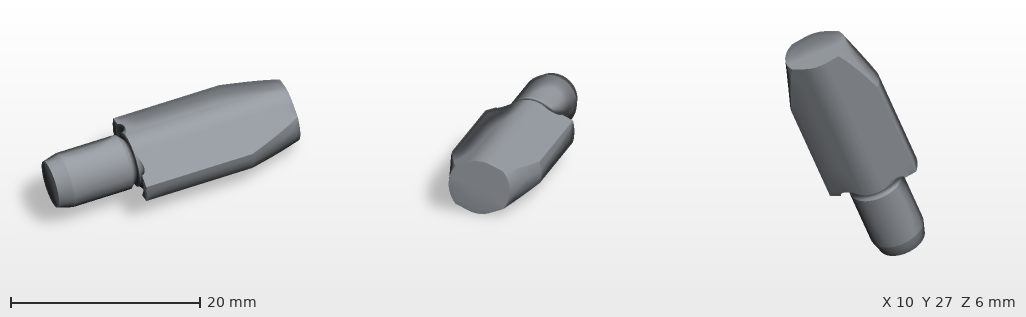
import cadquery as cq
import math

total_length = 27.0
body_length = 18.0
body_radius = 5.0
shank_radius = 3.0
flat_angle = math.radians(22.5)
taper_angle = math.radians(15)
body_taper_length = 6.0
tip_taper_length = 1.6
neck_length = 0.8
groove_outer_radius = 4.0

shank_length = total_length - body_length
neck_radius = shank_radius - neck_length


def revolve_about_y(profile):
    """Turn a closed XY profile around the Y axis."""
    return profile.revolve(360, (0, 0, 0), (0, 1, 0))


def make_section():
    """Extrude the crowned body section with flats tangent to the crowns."""
    crown_x = shank_radius * math.sin(flat_angle)
    crown_z = shank_radius * math.cos(flat_angle)
    wing_angle = math.pi / 2 - flat_angle - math.acos(shank_radius / body_radius)
    wing_x = body_radius * math.cos(wing_angle)
    wing_z = body_radius * math.sin(wing_angle)
    return (
        cq.Workplane("XZ")
        .moveTo(-crown_x, crown_z)
        .threePointArc((0, shank_radius), (crown_x, crown_z))
        .lineTo(wing_x, wing_z)
        .threePointArc((body_radius, 0), (wing_x, -wing_z))
        .lineTo(crown_x, -crown_z)
        .threePointArc((0, -shank_radius), (-crown_x, -crown_z))
        .lineTo(-wing_x, -wing_z)
        .threePointArc((-body_radius, 0), (-wing_x, wing_z))
        .close()
        .extrude(-body_length)
    )


def make_taper_envelope():
    """Turned blank that tapers the far end of the body."""
    blank_radius = body_radius + 0.27
    end_radius = body_radius - body_taper_length * math.tan(taper_angle)
    taper_start = body_length - body_taper_length
    return revolve_about_y(
        cq.Workplane("XY").polyline([
            (0, 0),
            (blank_radius, 0),
            (blank_radius, taper_start),
            (body_radius, taper_start),
            (end_radius, body_length),
            (0, body_length),
        ]).close()
    )


def make_groove():
    """Half-round ring groove in the shoulder, just outside the shank radius."""
    groove_radius = (groove_outer_radius - shank_radius) / 2
    groove_center = shank_radius + groove_radius
    return revolve_about_y(
        cq.Workplane("XY").moveTo(groove_center, 0).circle(groove_radius)
    )


def make_shank():
    """Shank with a conical neck at the shoulder and a tapered tip."""
    tip_radius = shank_radius - tip_taper_length * math.tan(taper_angle)
    return revolve_about_y(
        cq.Workplane("XY").polyline([
            (0, 0),
            (neck_radius, 0),
            (shank_radius, -neck_length),
            (shank_radius, tip_taper_length - shank_length),
            (tip_radius, -shank_length),
            (0, -shank_length),
        ]).close()
    )


body = make_section().intersect(make_taper_envelope()).cut(make_groove())
result = body.union(make_shank())